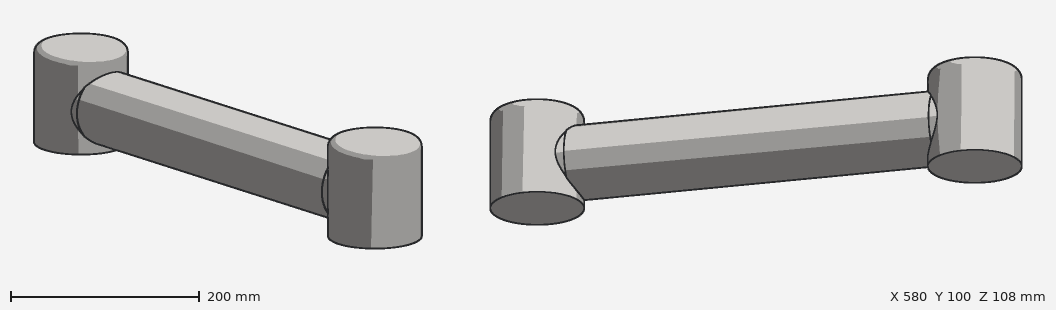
import cadquery as cq

total_length = 580.0
post_diameter = 100.0
post_height = 108.0
top_rounding = 10.0

bar_diameter = 80.0
bar_length = 400.0
neck_diameter = 79.0
bar_axis_height = 47.0

post_offset = (total_length - post_diameter) / 2


def make_post(x):
    """Upright cylinder with a rounded top edge."""
    post = cq.Workplane("XY").circle(post_diameter / 2).extrude(post_height)
    return post.faces(">Z").edges().fillet(top_rounding).translate((x, 0, 0))


def make_rod(diameter, length):
    """Round rod along X, centred between the posts."""
    return (
        cq.Workplane("YZ", origin=(0, 0, bar_axis_height))
        .circle(diameter / 2)
        .extrude(length / 2, both=True)
    )


bar = make_rod(bar_diameter, bar_length)
necks = make_rod(neck_diameter, 2 * post_offset)
result = bar.union(necks)
for side in (-1, 1):
    result = result.union(make_post(side * post_offset))